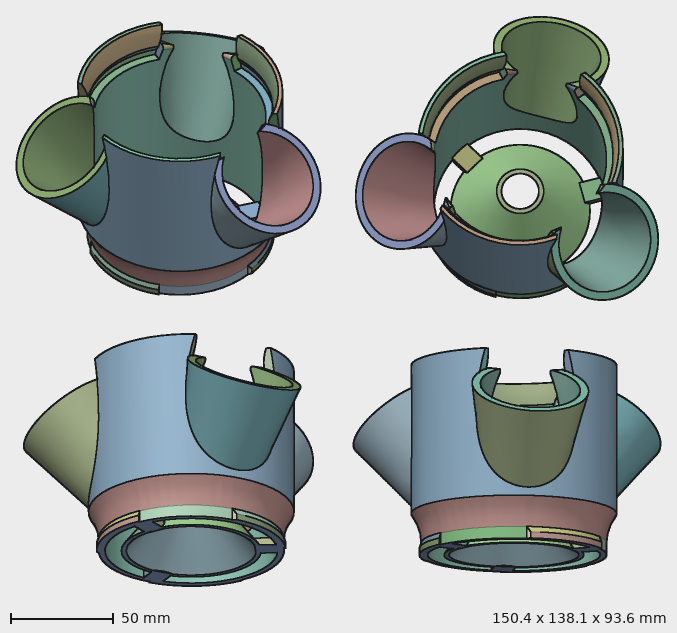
import cadquery as cq
import math

height = 93.6
body_radius = 100.0 / 2
bore_radius = 84.0 / 2
shoulder_height = 20.3

spigot_radius = 45.1
collar_height = 5.9
tab_radius = 46.0
tab_taper_height = 3.2
tab_angle = 60.0
tab_ramp_angle = 2.3
ledge_height = 76.5

arm_directions = (-90, 30, 150)
arm_tilt = 34.6
flare_angle = 10.2
mouth_radius = 28.5
mouth_inner_radius = 24.4
mouth_distance = 58.2
mouth_height = 72.4
arm_length = 63.2
clearance_length = 60.2
tip_round_start = 82.6
tip_round_size = 2.1
tip_round_radius = 2.7

cone_base_radius = 34.0
cone_top_radius = 22.9 / 2
cone_hole_radius = 18.0 / 2
cone_slope = 52.0
spoke_width = 10.5
spoke_inner_radius = 31.1
spoke_directions = (90, 210, 330)

neck_rise = shoulder_height - collar_height
neck_step = body_radius - spigot_radius
neck_arc_radius = (neck_rise**2 + neck_step**2) / (2 * neck_step)


def neck_radius(z):
    """Outer radius of the concave neck at height z."""
    rise = z - collar_height
    return spigot_radius + neck_arc_radius - math.sqrt(neck_arc_radius**2 - rise**2)


def make_body():
    neck_middle = collar_height + neck_rise / 2
    return (
        cq.Workplane("XZ")
        .lineTo(spigot_radius, 0)
        .lineTo(spigot_radius, collar_height)
        .threePointArc((neck_radius(neck_middle), neck_middle), (body_radius, shoulder_height))
        .lineTo(body_radius, height)
        .lineTo(0, height)
        .close()
        .revolve(360, (0, 0, 0), (0, 1, 0))
    )


def make_socket():
    """Cutter that accepts the neck, collar and tabs of another part."""
    neck_start = ledge_height + collar_height
    socket_depth = height - ledge_height
    arc_middle = (collar_height + socket_depth) / 2
    return (
        cq.Workplane("XZ")
        .moveTo(0, ledge_height)
        .lineTo(tab_radius, ledge_height)
        .lineTo(tab_radius, ledge_height + tab_taper_height)
        .lineTo(spigot_radius, neck_start)
        .threePointArc(
            (neck_radius(arc_middle), ledge_height + arc_middle),
            (neck_radius(socket_depth), height),
        )
        .lineTo(0, height)
        .close()
        .revolve(360, (0, 0, 0), (0, 1, 0))
    )


def polar(radius, angle):
    return radius * math.cos(math.radians(angle)), radius * math.sin(math.radians(angle))


def make_tab(direction):
    """Bayonet tab, tapered at the top and ramped at its clockwise end."""
    ring = (
        cq.Workplane("XZ")
        .moveTo(bore_radius, 0)
        .lineTo(tab_radius, 0)
        .lineTo(tab_radius, tab_taper_height)
        .lineTo(spigot_radius, collar_height)
        .lineTo(bore_radius, collar_height)
        .close()
        .revolve(360, (0, 0, 0), (0, 1, 0))
    )
    start = direction - tab_angle / 2
    end = direction + tab_angle / 2
    sector = (
        cq.Workplane("XY")
        .lineTo(*polar(spigot_radius, start))
        .lineTo(*polar(tab_radius, start + tab_ramp_angle))
        .threePointArc(polar(tab_radius, direction), polar(tab_radius, end))
        .close()
        .extrude(collar_height)
    )
    return ring.intersect(sector)


def mouth_plane(direction):
    """Plane of an arm mouth, with its normal along the arm axis."""
    tilt = math.radians(arm_tilt)
    normal = (*polar(math.sin(tilt), direction), math.cos(tilt))
    centre = (*polar(mouth_distance, direction), mouth_height)
    across = (*polar(1, direction + 90), 0)
    return cq.Plane(origin=centre, xDir=across, normal=normal)


def flared_plug(direction, radius):
    """Solid cone that narrows from the mouth down into the tube."""
    return cq.Workplane(mouth_plane(direction)).circle(radius).extrude(-arm_length, taper=flare_angle)


def mouth_clearance(direction):
    """The outer cone of an arm continued outwards beyond its mouth."""
    mouth = cq.Workplane(mouth_plane(direction)).circle(mouth_radius)
    return mouth.extrude(clearance_length, taper=-flare_angle)


def make_bore():
    """Bore cutter that flares out at the top to round the inner tips of the arms."""
    round_end = bore_radius + tip_round_size
    return (
        cq.Workplane("XZ")
        .lineTo(bore_radius, 0)
        .lineTo(bore_radius, tip_round_start)
        .radiusArc((round_end, tip_round_start + tip_round_size), tip_round_radius)
        .lineTo(round_end, height)
        .lineTo(0, height)
        .close()
        .revolve(360, (0, 0, 0), (0, 1, 0))
    )


def cone_surface_height(radius):
    """Height of the outer cone surface at a given radius."""
    return (cone_base_radius - radius) * math.tan(math.radians(cone_slope))


def make_cone():
    """Hollow cone with a flat rim around its top hole."""
    cone_height = cone_surface_height(cone_top_radius)
    rim_width = cone_top_radius - cone_hole_radius
    return (
        cq.Workplane("XZ")
        .moveTo(cone_base_radius - rim_width, 0)
        .lineTo(cone_base_radius, 0)
        .lineTo(cone_top_radius, cone_height)
        .lineTo(cone_hole_radius, cone_height)
        .close()
        .revolve(360, (0, 0, 0), (0, 1, 0))
    )


def make_spoke(direction):
    """Flat spoke from the cone wall to the tube wall."""
    thickness = cone_surface_height(spoke_inner_radius)
    outer_radius = (bore_radius + spigot_radius) / 2
    return (
        cq.Workplane("XY")
        .center((spoke_inner_radius + outer_radius) / 2, 0)
        .rect(outer_radius - spoke_inner_radius, spoke_width)
        .extrude(thickness)
        .rotate((0, 0, 0), (0, 0, 1), direction)
    )


result = make_body().cut(make_socket())
for direction in arm_directions:
    result = result.union(flared_plug(direction, mouth_radius))
    result = result.union(make_tab(direction + tab_angle / 2))

result = result.cut(make_bore())
for direction in arm_directions:
    result = result.cut(flared_plug(direction, mouth_inner_radius))
    result = result.cut(mouth_clearance(direction))

result = result.union(make_cone())
for direction in spoke_directions:
    result = result.union(make_spoke(direction))